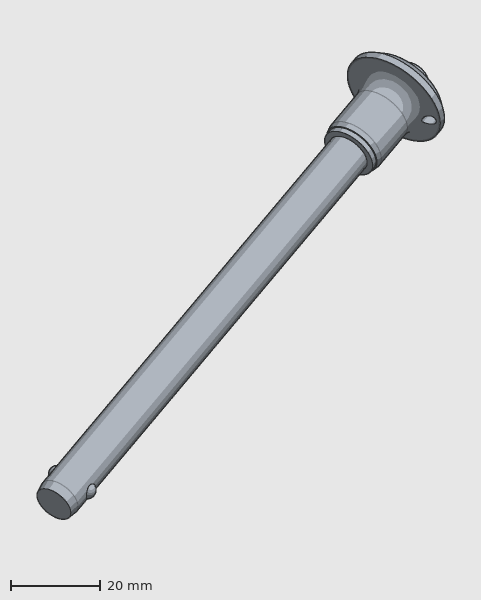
import cadquery as cq
import math

total_length = 146.9
tip_y = -total_length / 2
top_y = total_length / 2

button_radius = 3.5
button_height = 4.7

flange_radius = 12.5
flange_chamfer = 2.2
flange_rim = 1.8

body_radius = 7.0
flare_radius = 5.1
body_length = 10.6

collar_radius = 6.5
shoulder_length = 1.3
shoulder_drop = 0.3
collar_length = 1.3

shank_radius = 5.0
tip_radius = 4.5
tip_length = 2.4

ball_radius = 2.0
ball_reach = 6.0
ball_from_tip = 7.5

hole_radius = 1.5
hole_offset = 10.0

flange_top = top_y - button_height
rim_top = flange_top - flange_chamfer
rim_bottom = rim_top - flange_rim
flare_bottom = rim_bottom - flare_radius
body_bottom = flare_bottom - body_length
collar_top = body_bottom - shoulder_length
collar_bottom = collar_top - collar_length


def make_turned_body():
    """Revolve the half profile (radius along X) about the Y axis."""
    flare_middle = (
        body_radius + flare_radius * (1 - math.cos(math.pi / 4)),
        rim_bottom - flare_radius * (1 - math.sin(math.pi / 4)),
    )
    profile = (
        cq.Workplane("XY")
        .moveTo(0, top_y)
        .lineTo(button_radius, top_y)
        .lineTo(button_radius, flange_top)
        .lineTo(flange_radius - flange_chamfer, flange_top)
        .lineTo(flange_radius, rim_top)
        .lineTo(flange_radius, rim_bottom)
        .lineTo(body_radius + flare_radius, rim_bottom)
        .threePointArc(flare_middle, (body_radius, flare_bottom))
        .lineTo(body_radius, body_bottom)
        .lineTo(body_radius - shoulder_drop, collar_top)
        .lineTo(collar_radius, collar_top)
        .lineTo(collar_radius, collar_bottom)
        .lineTo(shank_radius, collar_bottom)
        .lineTo(shank_radius, tip_y + tip_length)
        .lineTo(tip_radius, tip_y)
        .lineTo(0, tip_y)
        .close()
    )
    return profile.revolve(360, (0, 0, 0), (0, 1, 0))


def make_ball(side):
    """Ball that projects from the shank on the given X side (+1 or -1)."""
    center = (side * (ball_reach - ball_radius), tip_y + ball_from_tip, 0)
    return cq.Workplane("XY").sphere(ball_radius).translate(center)


def make_lanyard_hole():
    """Cutter along Y that passes through the flange."""
    return (
        cq.Workplane("XZ", origin=(hole_offset, top_y, 0))
        .circle(hole_radius)
        .extrude(top_y - flare_bottom)
    )


result = make_turned_body().cut(make_lanyard_hole())
for side in (-1, 1):
    result = result.union(make_ball(side))